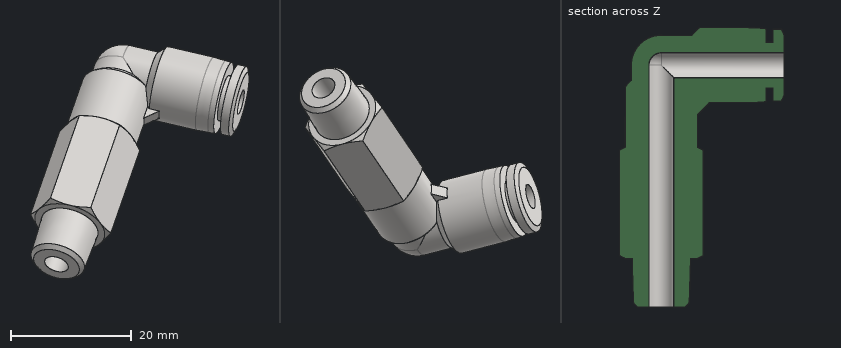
import cadquery as cq
import math

overlap = 0.92

neck_radius = 5.0
neck_end = 2.5
sleeve_radius = 6.0
sleeve_chamfer = sleeve_radius - neck_radius

hex_across_flats = 2 * sleeve_radius
hex_across_corners = hex_across_flats / math.cos(math.pi / 6)
hex_length = 18.5
hex_chamfer = (hex_across_corners / 2 - sleeve_radius) * math.tan(math.pi / 6)

thread_length = 8.0
thread_root_radius = 4.85
thread_taper = 1 / 32
thread_chamfer = 0.7

housing_radius = 6.25
housing_chamfer = housing_radius - neck_radius
housing_start = 5.05
housing_straight_end = 14.25
housing_rim_start = 16.35
housing_end = 17.35
housing_rim_radius = 6.15
housing_end_radius = 6.05
groove_radius = 3.85
collar_start = 18.45
collar_radius = 5.95
collar_end = 20.3
collar_bevel = 0.4
collar_face_radius = 5.0
bore_radius = 2.05

gusset_width = 2.1
gusset_leg = 1.95

thread_tip_y = housing_radius - 46.25
hex_bottom_y = thread_tip_y + thread_length
hex_top_y = hex_bottom_y + hex_length


def revolve_about_y(points):
    """Revolve an (radius, y) outline about the upright axis."""
    return cq.Workplane("XY").polyline(points).close().revolve(360, (0, 0), (0, 1))


def revolve_about_x(points):
    """Revolve an (x, radius) outline about the outlet axis."""
    return cq.Workplane("XY").polyline(points).close().revolve(360, (0, 0), (1, 0))


def make_upright():
    return revolve_about_y([
        (0, 0),
        (neck_radius, 0),
        (neck_radius, -neck_end),
        (sleeve_radius, -neck_end - sleeve_chamfer),
        (sleeve_radius, hex_top_y - overlap),
        (0, hex_top_y - overlap),
    ])


def make_hex():
    """Hexagonal prism with its corners turned down by a cone at both ends."""
    prism = (
        cq.Workplane("XZ", origin=(0, hex_top_y, 0))
        .polygon(6, hex_across_corners)
        .extrude(hex_length)
    )
    corner_radius = hex_across_corners / 2
    envelope = revolve_about_y([
        (0, hex_top_y),
        (sleeve_radius, hex_top_y),
        (corner_radius, hex_top_y - hex_chamfer),
        (corner_radius, hex_bottom_y + hex_chamfer),
        (sleeve_radius, hex_bottom_y),
        (0, hex_bottom_y),
    ])
    return prism.intersect(envelope)


def make_thread():
    tip_radius = thread_root_radius - thread_taper * (thread_length - thread_chamfer)
    return revolve_about_y([
        (0, hex_bottom_y + overlap),
        (thread_root_radius, hex_bottom_y + overlap),
        (thread_root_radius, hex_bottom_y),
        (tip_radius, thread_tip_y + thread_chamfer),
        (tip_radius - thread_chamfer, thread_tip_y),
        (0, thread_tip_y),
    ])


def make_outlet():
    return revolve_about_x([
        (0, 0),
        (0, neck_radius),
        (housing_start, neck_radius),
        (housing_start + housing_chamfer, housing_radius),
        (housing_straight_end, housing_radius),
        (housing_rim_start, housing_rim_radius),
        (housing_end, housing_end_radius),
        (housing_end, groove_radius),
        (collar_start, groove_radius),
        (collar_start, collar_radius),
        (collar_end - collar_bevel, collar_radius),
        (collar_end, collar_face_radius),
        (collar_end, 0),
    ])


def make_gusset():
    """Triangular web closing the corner between sleeve and housing."""
    inner_x = sleeve_radius - overlap
    inner_y = overlap - housing_radius
    reach = gusset_leg + 2 * overlap
    return (
        cq.Workplane("XY")
        .polyline([(inner_x, inner_y), (inner_x + reach, inner_y), (inner_x, inner_y - reach)])
        .close()
        .extrude(gusset_width / 2, both=True)
    )


def make_bore():
    """Bore through thread tip and collar face, rounded by a sphere where its legs meet."""
    upright_leg = cq.Workplane("XZ").circle(bore_radius).extrude(-thread_tip_y)
    outlet_leg = cq.Workplane("YZ").circle(bore_radius).extrude(collar_end)
    return upright_leg.union(outlet_leg).union(cq.Workplane("XY").sphere(bore_radius))


result = (
    make_upright()
    .union(cq.Workplane("XY").sphere(neck_radius))
    .union(make_hex())
    .union(make_thread())
    .union(make_outlet())
    .union(make_gusset())
    .cut(make_bore())
)